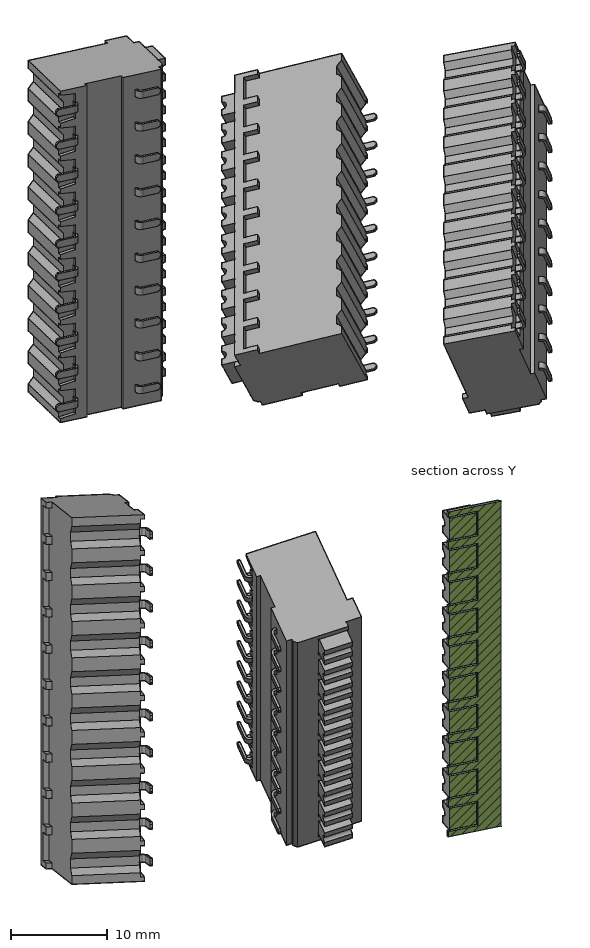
import cadquery as cq

length = 38.5
pole_count = 10
pole_pitch = 3.8

rail_depth = 0.6
pad_depth = 0.42
body_right = 8.3
pad_base = body_right - pad_depth
rail_front = 9.05
rail_shoulder = 11.55
body_back = 12.15
back_left = 1.7
back_right = 7.7
back_chamfer = 0.4
front_pad_back = 3.05
rear_pad_front = 7.15

scallop_height = 2.95
scallop_back = 10.55

groove_mouth = 2.35
groove_floor = 0.95
groove_depth = 0.58

recess_mouth = 3.27
recess_floor = 2.85
recess_depth = 1.75

lever_left = 1.8
lever_width = 3.08
lever_height = 2.6
lever_back = 13.63
lever_clearance = 0.1
finger_radius = 0.5

pin_height = 0.8
pin_thickness = 0.27
pin_right = 9.0
pin_bend_radius = 0.58
pin_inner_radius = pin_bend_radius - pin_thickness
front_pin_base = 1.9
front_pin_tip = -0.77
rear_pin_base = 8.55
rear_pin_tip = 11.12
tip_bevel = 0.25

pole_centers = [(i - (pole_count - 1) / 2) * pole_pitch for i in range(pole_count)]


def block(x0, x1, y0, y1, height, z):
    """Block between X and Y limits, centred in Z on the given level."""
    center = ((x0 + x1) / 2, (y0 + y1) / 2, z)
    return cq.Workplane("XY").box(x1 - x0, y1 - y0, height).translate(center)


def body():
    """Extruded housing with the rail, the raised back and the two rows of pads."""
    outline = [
        (rail_depth, 0),
        (body_right, 0),
        (body_right, front_pad_back),
        (pad_base, front_pad_back),
        (pad_base, rear_pad_front),
        (body_right, rear_pad_front),
        (body_right, rail_shoulder),
        (back_right, rail_shoulder),
        (back_right, body_back - back_chamfer),
        (back_right - back_chamfer, body_back),
        (back_left, body_back),
        (back_left, rail_shoulder),
        (0, rail_shoulder),
        (0, rail_front),
        (rail_depth, rail_front),
    ]
    return cq.Workplane("XY").workplane(offset=-length / 2).polyline(outline).close().extrude(length)


def front_cut(x0, x1, mouth, floor, depth, z):
    """Tapered cutter entering from the front face, running from x0 to x1."""
    profile = [(0, z - mouth / 2), (0, z + mouth / 2), (depth, z + floor / 2), (depth, z - floor / 2)]
    return cq.Workplane("YZ", origin=(x0, 0, 0)).polyline(profile).close().extrude(x1 - x0)


def pole_cutters(z):
    """Cutters for everything removed from the body at one pole."""
    scallop = block(0, rail_depth, rail_front, scallop_back, scallop_height, z)
    groove = front_cut(rail_depth, pad_base, groove_mouth, groove_floor, groove_depth, z)
    recess = front_cut(pad_base, body_right, recess_mouth, recess_floor, recess_depth, z)
    lever_slot = block(
        back_left,
        lever_left + lever_width + lever_clearance,
        rail_shoulder,
        body_back,
        lever_height + 2 * lever_clearance,
        z,
    )
    return [scallop, groove, recess, lever_slot]


def lever(z):
    """Push lever with a round finger notch across its back."""
    lever_right = lever_left + lever_width
    bar = block(lever_left, lever_right, rail_shoulder, lever_back, lever_height, z)
    notch = (
        cq.Workplane("YZ", origin=(lever_left, 0, 0))
        .center(lever_back, z)
        .circle(finger_radius)
        .extrude(lever_width)
    )
    return bar.cut(notch)


def pin(root, base, tip, z):
    """L-shaped pin leaving the body at x = root, bent along Y towards its beveled tip."""
    way = 1 if tip > base else -1
    pin_left = pin_right - pin_thickness
    strip = (
        cq.Workplane("XY", origin=(0, 0, z))
        .moveTo(root, base)
        .lineTo(pin_right - pin_bend_radius, base)
        .radiusArc((pin_right, base + way * pin_bend_radius), -way * pin_bend_radius)
        .lineTo(pin_right, tip)
        .lineTo(pin_left, tip)
        .lineTo(pin_left, base + way * pin_bend_radius)
        .radiusArc((pin_left - pin_inner_radius, base + way * pin_thickness), way * pin_inner_radius)
        .lineTo(root, base + way * pin_thickness)
        .close()
        .extrude(pin_height / 2, both=True)
    )
    tip_edges = strip.faces(">Y" if way > 0 else "<Y").edges("|X")
    return tip_edges.chamfer(tip_bevel)


result = body()
for level in pole_centers:
    for cutter in pole_cutters(level):
        result = result.cut(cutter)
    result = result.union(lever(level))
    result = result.union(pin(pad_base, front_pin_base, front_pin_tip, level))
    result = result.union(pin(body_right, rear_pin_base, rear_pin_tip, level))